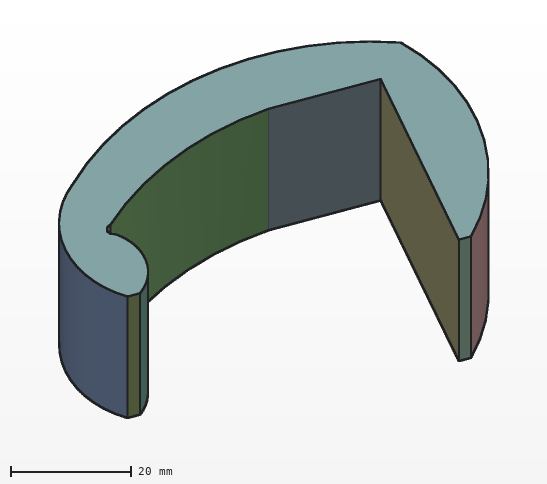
import cadquery as cq

height = 74.25
width = 50.1
depth = 30.0
wall = 11.7
shelf_y = 62.3
lip_x = 43.5

shoulder = (5.1, 68.25)
upper_tip = (width, 64.45)
inner_straight_end = (wall, 42.5)
notch_start = (27.4, 8.9)
notch_end = (29.55, 8.9)
lip_top = (lip_x, 8.4)
lip_bottom = (lip_x, 6.2)
heel = (16.6, 6.2)

crown = (25.25, height)
inner_bow = (17.7, 22.35)
notch_floor = (28.5, 8.0)
lip_crest = (36.25, 11.8)
sole = (30.0, 0)
spine_outermost = (0, 45.2)

outline = (
    cq.Workplane("XY")
    .moveTo(*shoulder)
    .threePointArc(crown, upper_tip)
    .lineTo(width, shelf_y)
    .lineTo(wall, shelf_y)
    .lineTo(*inner_straight_end)
    .threePointArc(inner_bow, notch_start)
    .threePointArc(notch_floor, notch_end)
    .threePointArc(lip_crest, lip_top)
    .lineTo(*lip_bottom)
    .threePointArc(sole, heel)
    .threePointArc(spine_outermost, shoulder)
    .close()
)

result = outline.extrude(depth)